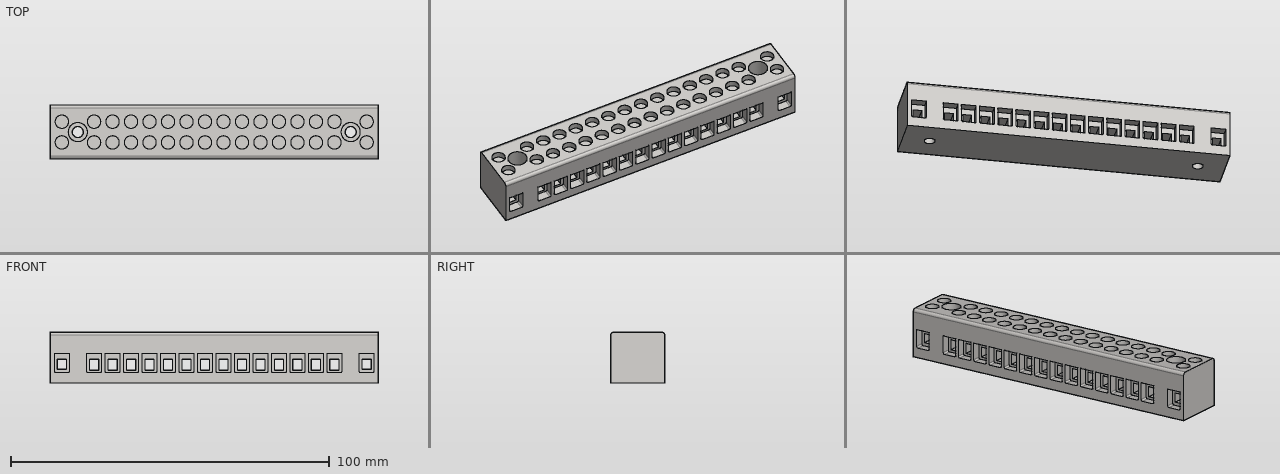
import cadquery as cq

LENGTH = 103.0
WIDTH = 17.0
HEIGHT = 16.0
TOP_EDGE_RADIUS = 1.0

POLE_COUNT = 14
POLE_PITCH = 5.8
END_POLE_X = 47.8

SCREW_DIAMETER = 4.2
SCREW_DEPTH = 2.0
SCREW_ROW_Y = 3.25

MOUNT_X = 42.8
MOUNT_DIAMETER = 3.4
MOUNT_HEAD_DIAMETER = 6.0
MOUNT_HEAD_DEPTH = HEIGHT / 2

ENTRY_WIDTH = 4.7
ENTRY_BOTTOM_Z = 3.25
ENTRY_TOP_Z = 9.35
ENTRY_DEPTH = 2.8
ENTRY_FLOOR_RADIUS = 0.5
PASSAGE_WIDTH = 2.8
PASSAGE_TOP_Z = 7.4
POLE_PASSAGE_BOTTOM_Z = 4.05
END_PASSAGE_BOTTOM_Z = 4.35

pole_xs = [(i - (POLE_COUNT - 1) / 2) * POLE_PITCH for i in range(POLE_COUNT)]
end_xs = [-END_POLE_X, END_POLE_X]


def make_block():
    block = cq.Workplane("XY").box(LENGTH, WIDTH, HEIGHT, centered=(True, True, False))
    return block.edges("|X and >Z").fillet(TOP_EDGE_RADIUS)


def box_between(x, width, y_min, y_max, z_min, z_max):
    """Box centred on x that spans the given y and z ranges."""
    box = cq.Workplane("XY").box(width, y_max - y_min, z_max - z_min, centered=(True, False, False))
    return box.translate((x, y_min, z_min))


def entry_pocket(x, y_min, y_max):
    """Rectangular pocket with rounded corners along its floor."""
    pocket = box_between(x, ENTRY_WIDTH, y_min, y_max, ENTRY_BOTTOM_Z, ENTRY_TOP_Z)
    return pocket.edges("|Y and <Z").fillet(ENTRY_FLOOR_RADIUS)


def wire_way(x, passage_bottom_z):
    """Entry pockets on both sides of one pole and the passage between them."""
    side = WIDTH / 2
    inner = side - ENTRY_DEPTH
    front = entry_pocket(x, -side, -inner)
    back = entry_pocket(x, inner, side)
    passage = box_between(x, PASSAGE_WIDTH, -side, side, passage_bottom_z, PASSAGE_TOP_Z)
    return front.union(passage).union(back)


def cut_screw_holes(body):
    points = [(x, y) for x in pole_xs + end_xs for y in (-SCREW_ROW_Y, SCREW_ROW_Y)]
    holes = cq.Workplane("XY").workplane(offset=HEIGHT).pushPoints(points)
    return body.cut(holes.circle(SCREW_DIAMETER / 2).extrude(-SCREW_DEPTH))


def cut_mounting_holes(body):
    top = body.faces(">Z").workplane(origin=(0, 0, HEIGHT))
    top = top.pushPoints([(-MOUNT_X, 0), (MOUNT_X, 0)])
    return top.cboreHole(MOUNT_DIAMETER, MOUNT_HEAD_DIAMETER, MOUNT_HEAD_DEPTH)


result = make_block()
for pole_x in pole_xs:
    result = result.cut(wire_way(pole_x, POLE_PASSAGE_BOTTOM_Z))
for end_x in end_xs:
    result = result.cut(wire_way(end_x, END_PASSAGE_BOTTOM_Z))
result = cut_screw_holes(result)
result = cut_mounting_holes(result)